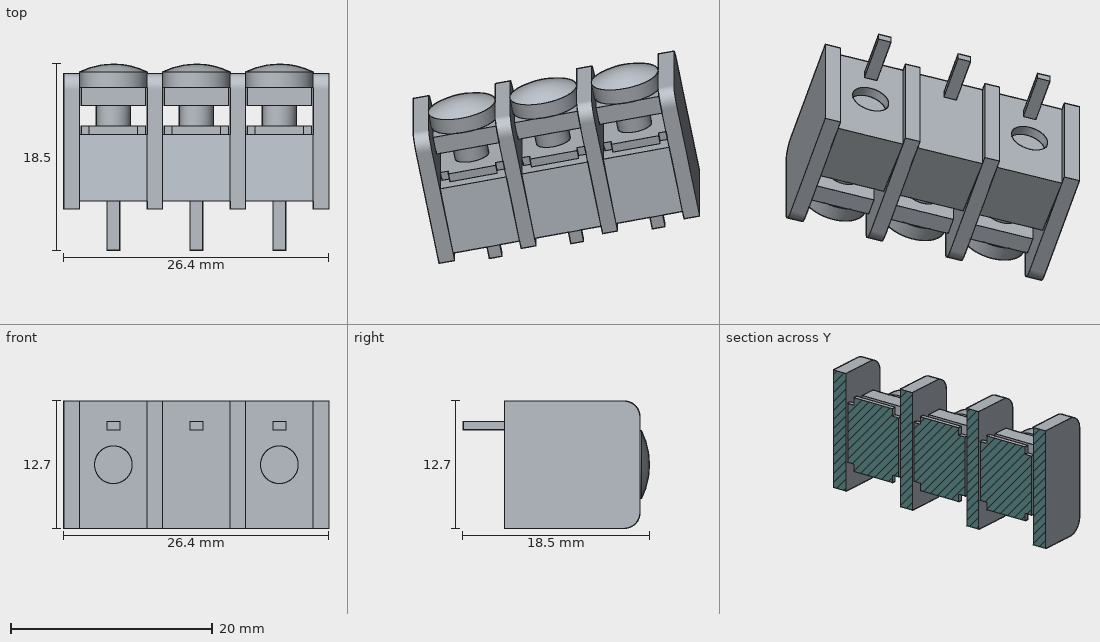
import cadquery as cq
import math

pole_count = 3
pole_pitch = 8.255
total_width = 26.42
total_depth = 18.54
height = 12.7
mid_height = height / 2
pole_centers = [(i - (pole_count - 1) / 2) * pole_pitch for i in range(pole_count)]

pole_gap = 6.73
inner_wall_thickness = pole_pitch - pole_gap
end_wall_thickness = (total_width - (pole_count - 1) * pole_pitch - pole_gap) / 2
wall_front = 0.0
wall_back = 13.5
wall_corner_radius = 1.6

wall_overhang = 0.8
body_front = wall_front + wall_overhang
body_depth = 6.65
body_back = body_front + body_depth
body_taper = 0.87

recess_diameter = 3.75
recess_depth = 1.0

pin_width = 1.3
pin_thickness = 0.85
pin_inset = 2.04
pin_top = height - pin_inset
pin_reach = 4.1
pin_tip = wall_front - pin_reach

plate_size = 6.4
plate_thickness = 0.85
tongue_width = 4.8
tongue_length = 0.8
plate_back = body_back + plate_thickness

stem_diameter = 3.43
stem_gap = 2.0
washer_size = 6.4
washer_thickness = 1.8
washer_front = plate_back + stem_gap
wall_bite = 0.02
head_diameter = pole_gap + 2 * wall_bite
head_front = washer_front + washer_thickness
head_rim = 1.54
head_tip = pin_tip + total_depth
dome_base = head_front + head_rim


def box_between(x_center, x_size, y_front, y_back, z_bottom, z_top):
    """Box centred on x_center, spanning the given Y and Z limits."""
    return (
        cq.Workplane("XY")
        .box(x_size, y_back - y_front, z_top - z_bottom, centered=(True, False, False))
        .translate((x_center, y_front, z_bottom))
    )


def disc_between(x_center, diameter, y_front, y_back):
    """Cylinder along Y at mid height."""
    return (
        cq.Workplane("XZ", origin=(x_center, y_front, mid_height))
        .circle(diameter / 2)
        .extrude(y_front - y_back)
    )


def make_wall(x_center, thickness):
    """Barrier wall with its two screw-side corners rounded."""
    wall = box_between(x_center, thickness, wall_front, wall_back, 0, height)
    return wall.edges("|X and >Y").fillet(wall_corner_radius)


def make_body():
    """Block running through all walls, with sloping top and bottom."""
    length = pole_count * pole_pitch
    return (
        cq.Workplane("YZ", origin=(-length / 2, 0, 0))
        .moveTo(body_front, 0)
        .lineTo(body_back, body_taper)
        .lineTo(body_back, height - body_taper)
        .lineTo(body_front, height)
        .close()
        .extrude(length)
    )


def make_pin(x_center):
    """Flat solder pin, starting on the front face of the body."""
    return box_between(x_center, pin_width, pin_tip, body_front, pin_top - pin_thickness, pin_top)


def make_terminal_plate(x_center):
    """Plate on the back of the body, a square with a tongue at each end."""
    half_plate = plate_size / 2
    half_tongue = half_plate + tongue_length
    square = box_between(
        x_center, plate_size, body_back, plate_back, mid_height - half_plate, mid_height + half_plate
    )
    tongue = box_between(
        x_center, tongue_width, body_back, plate_back, mid_height - half_tongue, mid_height + half_tongue
    )
    return square.union(tongue)


def make_screw_head(x_center):
    """Cylindrical rim closed by a shallow spherical dome, turned about the screw axis."""
    head_radius = head_diameter / 2
    dome_height = head_tip - dome_base
    sphere_radius = (head_radius**2 + dome_height**2) / (2 * dome_height)
    half_angle = math.asin(head_radius / sphere_radius) / 2
    arc_middle = (
        sphere_radius * math.sin(half_angle),
        head_tip - sphere_radius + sphere_radius * math.cos(half_angle),
    )
    return (
        cq.Workplane("XY", origin=(x_center, 0, mid_height))
        .moveTo(0, head_front)
        .lineTo(head_radius, head_front)
        .lineTo(head_radius, dome_base)
        .threePointArc(arc_middle, (0, head_tip))
        .close()
        .revolve(axisStart=(0, 0), axisEnd=(0, 1))
    )


def make_screw(x_center):
    """Stem, square washer and domed head on one axis."""
    half_washer = washer_size / 2
    stem = disc_between(x_center, stem_diameter, plate_back, washer_front)
    washer = box_between(
        x_center, washer_size, washer_front, head_front, mid_height - half_washer, mid_height + half_washer
    )
    return stem.union(washer).union(make_screw_head(x_center))


result = make_body()

for x in pole_centers[:-1]:
    result = result.union(make_wall(x + pole_pitch / 2, inner_wall_thickness))

end_wall_center = (total_width - end_wall_thickness) / 2
for x in (-end_wall_center, end_wall_center):
    result = result.union(make_wall(x, end_wall_thickness))

for x in pole_centers:
    result = result.union(make_pin(x))
    result = result.union(make_terminal_plate(x))
    result = result.union(make_screw(x))

for x in (pole_centers[0], pole_centers[-1]):
    result = result.cut(disc_between(x, recess_diameter, body_front, body_front + recess_depth))